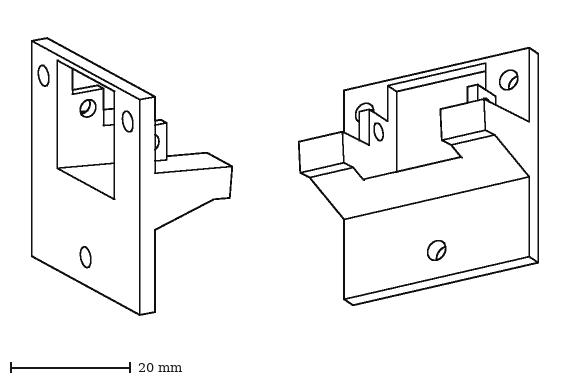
import cadquery as cq
import math

plate_width = 36.0
plate_height = 38.0
plate_thickness = 3.0

window_width = 19.0
window_height = 19.05
window_top_margin = 1.0
window_top = plate_height - window_top_margin
window_bottom = window_top - window_height

screw_diameter = 3.5
screw_edge_x = 4.0
screw_edge_z = 5.0

slope = math.radians(5)
bracket_depth = 17.95
bracket_root_top = 24.5
bracket_root_bottom = 14.5
tip_height = 5.5
tip_flat = 3.1

tab_thickness = 2.0
tab_depth = 6.0
tab_top = 30.5
tab_base = 20.9
tab_hole_diameter = 3.0


def make_plate():
    return cq.Workplane("XY").box(
        plate_width, plate_thickness, plate_height, centered=(True, False, False)
    )


def make_bracket():
    """Side profile whose top and tip are tilted by the slope angle."""
    tip_top_z = bracket_root_top - (bracket_depth - plate_thickness) * math.tan(slope)
    tip_bottom_y = bracket_depth - tip_height * math.sin(slope)
    tip_bottom_z = tip_top_z - tip_height * math.cos(slope)
    knee_y = tip_bottom_y - tip_flat * math.cos(slope)
    knee_z = tip_bottom_z + tip_flat * math.sin(slope)
    profile = [
        (0, bracket_root_bottom),
        (plate_thickness, bracket_root_bottom),
        (knee_y, knee_z),
        (tip_bottom_y, tip_bottom_z),
        (bracket_depth, tip_top_z),
        (plate_thickness, bracket_root_top),
        (0, bracket_root_top),
    ]
    return cq.Workplane("YZ").polyline(profile).close().extrude(plate_width / 2, both=True)


def make_tabs():
    """One block across both tabs; the window cut separates them."""
    return cq.Workplane("XY").box(
        window_width + 2 * tab_thickness,
        plate_thickness + tab_depth,
        tab_top - tab_base,
        centered=(True, False, False),
    ).translate((0, 0, tab_base))


def make_window():
    """Level top and a floor falling backwards, parallel to the bracket top."""
    floor_end_z = window_bottom - bracket_depth * math.tan(slope)
    profile = [
        (0, window_bottom),
        (bracket_depth, floor_end_z),
        (bracket_depth, window_top),
        (0, window_top),
    ]
    return cq.Workplane("YZ").polyline(profile).close().extrude(window_width / 2, both=True)


def make_screw_holes():
    upper_x = plate_width / 2 - screw_edge_x
    upper_z = plate_height - screw_edge_z
    centres = [(-upper_x, upper_z), (upper_x, upper_z), (0, screw_edge_z)]
    return (
        cq.Workplane("XZ").pushPoints(centres).circle(screw_diameter / 2).extrude(-plate_thickness)
    )


def make_tab_hole():
    centre = (plate_thickness + tab_depth / 2, tab_top - tab_depth / 2)
    return (
        cq.Workplane("YZ").center(*centre).circle(tab_hole_diameter / 2)
        .extrude(plate_width / 2, both=True)
    )


result = (
    make_plate()
    .union(make_bracket())
    .union(make_tabs())
    .cut(make_window())
    .cut(make_screw_holes())
    .cut(make_tab_hole())
)